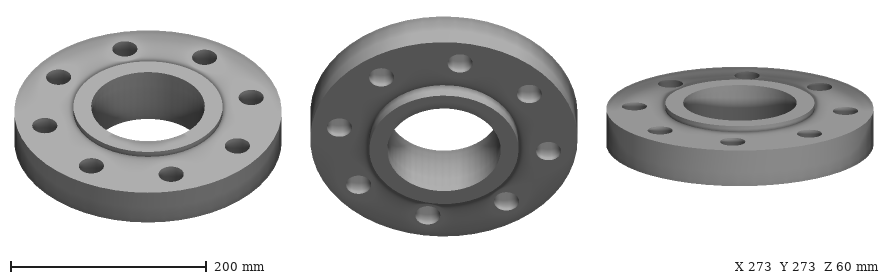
import cadquery as cq

flange_diameter = 273.0
flange_thickness = 38.2

hub_diameter = 152.4
total_height = 60.0
raised_face_height = 6.3
hub_height = total_height - flange_thickness - raised_face_height

bore_diameter = 116.0

bolt_count = 8
bolt_hole_diameter = 25.7
bolt_circle_diameter = 216.0
bolt_pitch_angle = 360.0 / bolt_count


def cylinder(diameter, height, base_z):
    """Solid cylinder on the Z axis, rising from base_z."""
    return cq.Workplane("XY").workplane(offset=base_z).circle(diameter / 2).extrude(height)


def bolt_holes():
    """Ring of cutters running through the full height of the part."""
    return (
        cq.Workplane("XY")
        .polarArray(bolt_circle_diameter / 2, bolt_pitch_angle / 2, 360, bolt_count)
        .circle(bolt_hole_diameter / 2)
        .extrude(total_height)
    )


disc = cylinder(flange_diameter, flange_thickness, hub_height)
hub_and_raised_face = cylinder(hub_diameter, total_height, 0)
bore = cylinder(bore_diameter, total_height, 0)

result = disc.union(hub_and_raised_face).cut(bore).cut(bolt_holes())